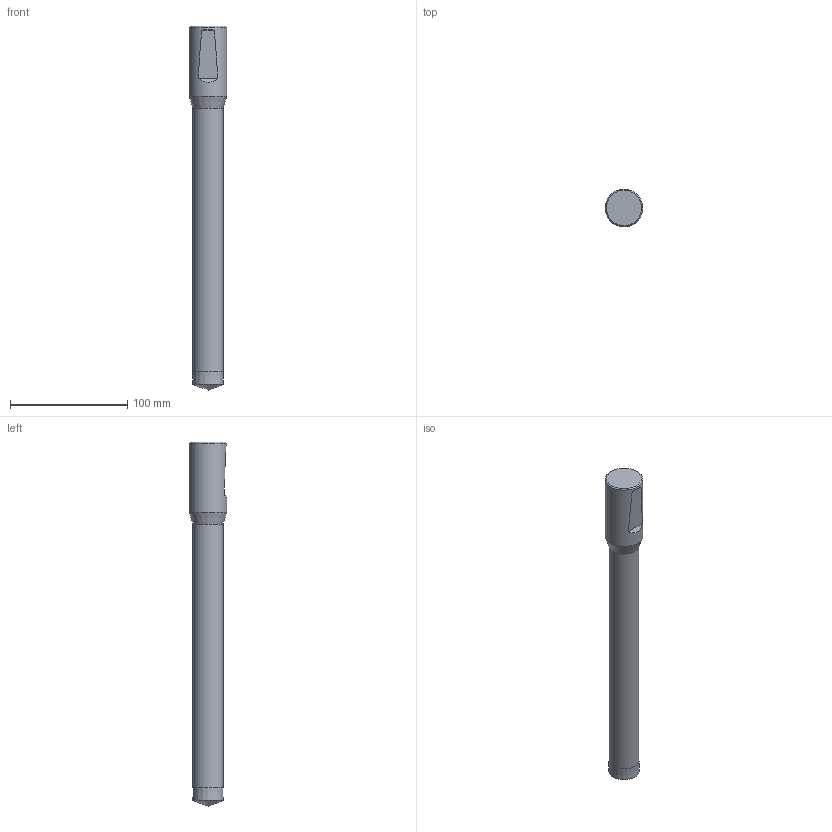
import cadquery as cq
import math

total_length = 310.0
bottom_z = 0.0
top_z = bottom_z + total_length

cut_diameter = 26.0
body_diameter = 25.6
tip_length = 16.0
point_half_angle = 70.0
point_height = cut_diameter / 2 / math.tan(math.radians(point_half_angle))
tip_joint_z = bottom_z + tip_length

shank_diameter = 32.0
shank_radius = shank_diameter / 2
shank_length = 60.0
shank_chamfer = 1.0
neck_length = 10.0
shank_bottom_z = top_z - shank_length
neck_bottom_z = shank_bottom_z - neck_length

flat_angle = 2.0
flat_top_offset = 3.8
flat_length = 40.8
flat_top_depth = 0.9
flat_bottom_depth = flat_top_depth + flat_length * math.tan(math.radians(flat_angle))
top_wall_angle = 50.0
bottom_wall_angle = 35.0
clearance = 1.0


def make_tip():
    """Conical point below a land that narrows slightly towards the joint."""
    return (
        cq.Workplane("XZ")
        .moveTo(0, bottom_z)
        .lineTo(cut_diameter / 2, bottom_z + point_height)
        .lineTo(body_diameter / 2, tip_joint_z)
        .lineTo(0, tip_joint_z)
        .close()
        .revolve(360, (0, 0, 0), (0, 1, 0))
    )


def make_clamping_notch():
    """Cutter whose inner face slopes deeper towards the lower end of the flat."""
    flat_top_z = top_z - flat_top_offset
    flat_bottom_z = flat_top_z - flat_length
    outer_y = -shank_radius - clearance
    top_wall_rise = (flat_top_depth + clearance) / math.tan(math.radians(top_wall_angle))
    bottom_wall_drop = (flat_bottom_depth + clearance) / math.tan(math.radians(bottom_wall_angle))
    return (
        cq.Workplane("YZ")
        .moveTo(outer_y, flat_top_z + top_wall_rise)
        .lineTo(-shank_radius + flat_top_depth, flat_top_z)
        .lineTo(-shank_radius + flat_bottom_depth, flat_bottom_z)
        .lineTo(outer_y, flat_bottom_z - bottom_wall_drop)
        .close()
        .extrude(shank_radius, both=True)
    )


def make_holder():
    """Long round body with a tapered neck and a thicker clamping shank."""
    turned = (
        cq.Workplane("XZ")
        .moveTo(0, tip_joint_z)
        .lineTo(body_diameter / 2, tip_joint_z)
        .lineTo(body_diameter / 2, neck_bottom_z)
        .lineTo(shank_radius, shank_bottom_z)
        .lineTo(shank_radius, top_z - shank_chamfer)
        .lineTo(shank_radius - shank_chamfer, top_z)
        .lineTo(0, top_z)
        .close()
        .revolve(360, (0, 0, 0), (0, 1, 0))
    )
    return turned.cut(make_clamping_notch())


tip = make_tip()
holder = make_holder()
result = cq.Compound.makeCompound([tip.val(), holder.val()])